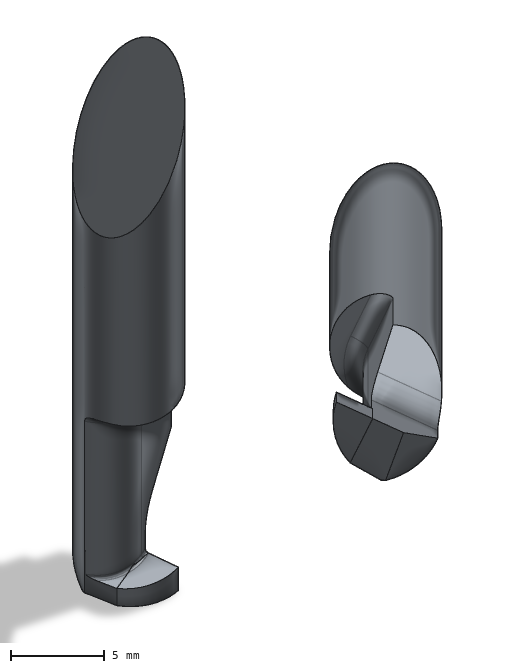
import cadquery as cq
import math

length = 42.45
bar_diameter = 6.0
bar_radius = bar_diameter / 2
oblique_angle = 30.0
margin = 4.25

rake_y = 0.15
relief_top_z = 10.1
relief_radius = 5.95

notch_top_z = 16.15
neck_x = 0.95
neck_radius = 2.65
neck_center_y = -0.25
notch_top_fillet = 1.0
notch_bottom_fillet = 0.2

hook_height = 2.0
top_clearance = 4.0
bottom_clearance = 6.0
bottom_side_slope = 0.5
corner_chamfer_x = -0.95

hook_left_x = -1.05
tip_x = 0.85
tip_shoulder_y = -2.65
flank_middle = (2.05, -1.82)


def side_prism(outline):
    """Extrude a closed YZ outline across the whole bar in X."""
    return outline.close().extrude(bar_radius + margin, both=True)


def make_bar():
    bar = cq.Workplane("XY").circle(bar_radius).extrude(length)
    drop = bar_diameter / math.tan(math.radians(oblique_angle))
    waste = side_prism(
        cq.Workplane("YZ")
        .moveTo(bar_radius, length)
        .lineTo(-bar_radius, length - drop)
        .lineTo(-bar_radius - margin, length - drop)
        .lineTo(-bar_radius - margin, length + margin)
        .lineTo(bar_radius, length + margin)
    )
    return bar.cut(waste)


def make_back_relief():
    """Sloping run-out, blended by an arc into the flat rake face."""
    angle = math.radians(oblique_angle)
    corner_z = relief_top_z - (bar_radius - rake_y) / math.tan(angle)
    tangent = relief_radius * math.tan(angle / 2)
    arc_middle = (
        rake_y + relief_radius * (1 - math.cos(angle / 2)),
        corner_z - tangent + relief_radius * math.sin(angle / 2),
    )
    arc_end = (rake_y + tangent * math.sin(angle), corner_z + tangent * math.cos(angle))
    return side_prism(
        cq.Workplane("YZ")
        .moveTo(rake_y, -margin)
        .lineTo(rake_y, corner_z - tangent)
        .threePointArc(arc_middle, arc_end)
        .lineTo(bar_radius, relief_top_z)
        .lineTo(bar_radius + margin, relief_top_z)
        .lineTo(bar_radius + margin, -margin)
    )


def neck_edges(level):
    """Select the edges around the neck near a given height."""
    half_width = neck_radius
    half_depth = bar_radius + margin / 2
    half_height = hook_height / 2
    return cq.selectors.BoxSelector(
        (neck_x - half_width, -half_depth, level - half_height),
        (neck_x + half_width, half_depth, level + half_height),
    )


def make_notch():
    """Space around the rounded neck, between the bar and the sloping hook top."""
    reach = bar_radius + margin
    slope = math.tan(math.radians(top_clearance))
    space = side_prism(
        cq.Workplane("YZ")
        .moveTo(-reach, hook_height - (reach + rake_y) * slope)
        .lineTo(reach, hook_height + (reach - rake_y) * slope)
        .lineTo(reach, notch_top_z)
        .lineTo(-reach, notch_top_z)
    )
    neck_center_x = neck_x - neck_radius
    diagonal = neck_radius * math.sqrt(0.5)
    neck = (
        cq.Workplane("XY")
        .moveTo(neck_center_x, neck_center_y - neck_radius)
        .threePointArc(
            (neck_center_x + diagonal, neck_center_y - diagonal), (neck_x, neck_center_y)
        )
        .lineTo(neck_x, reach + margin)
        .lineTo(-reach - margin, reach + margin)
        .lineTo(-reach - margin, neck_center_y - neck_radius)
        .close()
        .extrude(length)
    )
    notch = space.cut(neck)
    notch = notch.edges(neck_edges(notch_top_z)).fillet(notch_top_fillet)
    return notch.edges(neck_edges(hook_height)).fillet(notch_bottom_fillet)


def make_bottom_waste():
    """Block below the end face, which rises away from the cutting corner."""
    size = 4 * bar_diameter
    return (
        cq.Workplane("XY")
        .box(size, size, margin, centered=(True, True, False))
        .translate((0, 0, -margin))
        .rotate((0, 0, 0), (1, 0, 0), -bottom_clearance)
        .rotate((0, 0, 0), (0, 1, 0), bottom_side_slope)
        .translate((bar_radius, rake_y, 0))
    )


def make_corner_waste():
    """45 degree chamfer at the lower end, opposite the hook."""
    far_x = -bar_radius - margin
    return (
        cq.Workplane("XZ")
        .moveTo(corner_chamfer_x + margin, -margin)
        .lineTo(far_x, corner_chamfer_x - far_x)
        .lineTo(far_x, -margin)
        .close()
        .extrude(bar_radius + margin, both=True)
    )


def make_flank_waste():
    """Material in front of the hook's flat shoulder and curved flank."""
    left_y = -math.sqrt(bar_radius**2 - hook_left_x**2)
    reach = bar_radius + margin
    return (
        cq.Workplane("XY")
        .workplane(offset=-margin)
        .moveTo(hook_left_x, left_y)
        .lineTo(tip_x, tip_shoulder_y)
        .threePointArc(flank_middle, (bar_radius, rake_y))
        .lineTo(reach, rake_y)
        .lineTo(reach, -reach)
        .lineTo(hook_left_x, -reach)
        .close()
        .extrude(margin + 2 * hook_height)
    )


def make_tip_space():
    """Everything beyond the joint plane, up to just above the hook."""
    return (
        cq.Workplane("XY")
        .box(margin, 4 * bar_radius, 2 * hook_height, centered=(False, True, True))
        .translate((tip_x, 0, 0))
    )


def make_tool():
    tool = make_bar()
    wastes = [
        make_back_relief(),
        make_notch(),
        make_bottom_waste(),
        make_corner_waste(),
        make_flank_waste(),
    ]
    for waste in wastes:
        tool = tool.cut(waste)
    return tool


tool_shape = make_tool()
tip_space = make_tip_space()
shank = tool_shape.cut(tip_space)
cutting_tip = tool_shape.intersect(tip_space)

result = cq.Compound.makeCompound([*shank.vals(), *cutting_tip.vals()])